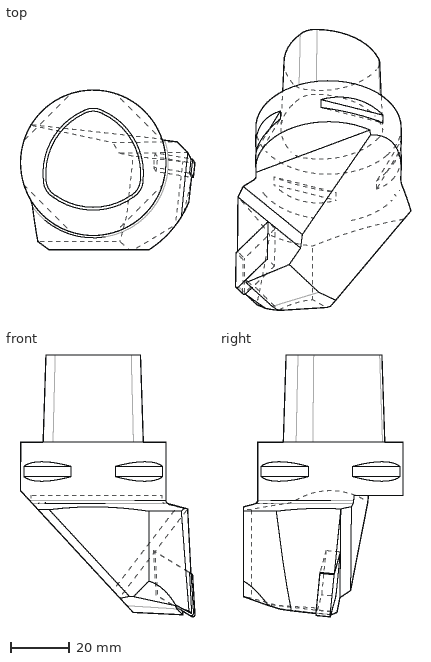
import cadquery as cq
import math


SHANK_HEIGHT = 30.0
LOBE_RADIUS = 18.7
SHOULDER_RADIUS = 18.2
FLANK_RADIUS = 16.3
LOBE_HALF_ANGLE = 10.5
LOBE_ANGLES = (90, 210, 330)
LOBE_SPACING = 360 / len(LOBE_ANGLES)
SHANK_TAPER = 1.0

FLANGE_RADIUS = 25.0
FLANGE_THICKNESS = 18.4
SLOT_FLOOR_RADIUS = 22.2
SLOT_DEPTH = FLANGE_RADIUS - SLOT_FLOOR_RADIUS
SLOT_CENTER_Z = -10.1
SLOT_FLOOR_HEIGHT = 3.5
SLOT_FLARE_ANGLE = 30
SLOT_FLARE = SLOT_DEPTH * math.tan(math.radians(SLOT_FLARE_ANGLE))
SLOT_ANGLES = (45, 135, 225, 315)

NECK_BOTTOM_Z = -20.1
NECK_FILLET = 1.1
SHOULDER_ANGLE = 15
HEAD_RADIUS = 35.55
BLANK_BOTTOM_Z = -67.5
HEAD_INNER_POINT = cq.Vector(18, -9, -40.5)
BIG = 270

SLANT_FACE = [(-25.0, 0, -16.65), (13.7, 0, -58.5), (13.7, -18, -58.5)]
FRONT_FACE = [(0, -30.0, -27), (18, -30.0, -27), (0, -30.0, -45)]
CORNER_CHAMFER = [(-18.7, -27.2, -23.3), (-15.0, -30.0, -23.3), (9.1, -27.2, -53.4)]
SIDE_FACE = [(32.5, 3.5, -22.95), (30.3, -18.2, -23.8), (32.85, -13.6, -57.2)]
RAKE_FACE = [(-22.2, 13.05, -19.7), (29.0, 7.2, -22.05), (6.75, 6.9, -51.0)]
BOTTOM_FACE = [(10.9, -18, -56.15), (13.7, 1.8, -58.5), (30.5, 0, -59.3)]
BOTTOM_BEVEL = [(14.0, -30.0, -53.1), (28.35, -21.4, -56.15), (10.9, -18, -56.15)]
BOTTOM_CORNER = [(18.9, -30.0, -48.0), (14.0, -30.0, -52.9), (28.35, -21.4, -56.0)]
LOWER_FACES = [FRONT_FACE, CORNER_CHAMFER, SIDE_FACE, RAKE_FACE,
               BOTTOM_FACE, BOTTOM_BEVEL, BOTTOM_CORNER]

NOTCH_ROOF = [(28.35, 0, -56.0), (32.6, 0, -58.2), (32.6, -18, -58.2)]
NOTCH_WALL = [(28.35, -20.25, -56.7), (30.8, 0, -56.7), (30.8, 0, -59.4)]

RECESS_DEPTH = 3.15
RECESS_WALL = [(6.75, 6.9, -51.0), (29.0, 7.2, -22.05), (32.5, 3.5, -22.95)]

INSERT_TIP_X = 35.1
INSERT_TIP_Z = -60.7
INSERT_SIDE = 15.3
INSERT_ANGLE = 55
INSERT_LEAN = 4
INSERT_THICKNESS = 4.95
INSERT_NOSE_RADIUS = 0.8


def polar(radius, angle):
    return (radius * math.cos(math.radians(angle)), radius * math.sin(math.radians(angle)))


def plane_normal(points):
    """Unit normal of a plane, pointing out of the head."""
    a, b, c = [cq.Vector(*p) for p in points]
    normal = (b - a).cross(c - a).normalized()
    return normal if (a - HEAD_INNER_POINT).dot(normal) > 0 else normal * -1


def outside(points, inset=0):
    """Everything beyond a plane that is moved into the head by an inset."""
    normal = plane_normal(points)
    origin = cq.Vector(*points[0]) - normal * inset
    return cq.Workplane(cq.Plane(origin, normal=normal)).rect(BIG, BIG).extrude(BIG)


def shank_outline(workplane, inset):
    lobe = LOBE_RADIUS - inset
    shoulder = SHOULDER_RADIUS - inset
    flank = FLANK_RADIUS - inset
    outline = workplane.moveTo(*polar(shoulder, LOBE_ANGLES[0] - LOBE_HALF_ANGLE))
    for center in LOBE_ANGLES:
        outline = outline.threePointArc(polar(lobe, center), polar(shoulder, center + LOBE_HALF_ANGLE))
        outline = outline.threePointArc(
            polar(flank, center + LOBE_SPACING / 2), polar(shoulder, center + LOBE_SPACING - LOBE_HALF_ANGLE))
    return outline.close()


def make_shank():
    base = shank_outline(cq.Workplane("XY"), 0)
    return shank_outline(base.workplane(offset=SHANK_HEIGHT), SHANK_TAPER).loft(ruled=True)


def gripper_slot(angle):
    floor_half = SLOT_FLOOR_HEIGHT / 2
    mouth_half = floor_half + SLOT_FLARE
    slot = (
        cq.Workplane("XZ")
        .moveTo(SLOT_FLOOR_RADIUS, SLOT_CENTER_Z - floor_half)
        .lineTo(FLANGE_RADIUS, SLOT_CENTER_Z - mouth_half)
        .lineTo(FLANGE_RADIUS, SLOT_CENTER_Z + mouth_half)
        .lineTo(SLOT_FLOOR_RADIUS, SLOT_CENTER_Z + floor_half)
        .close()
        .extrude(FLANGE_RADIUS, both=True)
    )
    return slot.rotate((0, 0, 0), (0, 0, 1), angle)


def holder_blank():
    """Flange, neck, fillet, conical shoulder and cylinder, all around the Z axis."""
    slope = math.radians(SHOULDER_ANGLE)
    fillet_center = (FLANGE_RADIUS + NECK_FILLET, NECK_BOTTOM_Z)

    def on_fillet(turn):
        return (fillet_center[0] - NECK_FILLET * math.cos(turn),
                fillet_center[1] - NECK_FILLET * math.sin(turn))

    fillet_turn = math.pi / 2 - slope
    fillet_end = on_fillet(fillet_turn)
    shoulder_end_z = fillet_end[1] - (HEAD_RADIUS - fillet_end[0]) * math.tan(slope)
    return (
        cq.Workplane("XZ")
        .moveTo(0, 0)
        .lineTo(FLANGE_RADIUS, 0)
        .lineTo(FLANGE_RADIUS, NECK_BOTTOM_Z)
        .threePointArc(on_fillet(fillet_turn / 2), fillet_end)
        .lineTo(HEAD_RADIUS, shoulder_end_z)
        .lineTo(HEAD_RADIUS, BLANK_BOTTOM_Z)
        .lineTo(0, BLANK_BOTTOM_Z)
        .close()
        .revolve(360, (0, 0, 0), (0, 1, 0))
    )


def cut_head(blank):
    """Cut the planes of the head; only the slant face reaches up into the flange."""
    below_flange = cq.Workplane("XY").workplane(offset=-FLANGE_THICKNESS).rect(BIG, BIG).extrude(-BIG)
    head = blank.cut(outside(SLANT_FACE))
    for face in LOWER_FACES:
        head = head.cut(outside(face).intersect(below_flange))
    notch = outside(NOTCH_ROOF).intersect(outside(NOTCH_WALL))
    recess = outside(RAKE_FACE, RECESS_DEPTH).intersect(outside(RECESS_WALL)).intersect(below_flange)
    return head.cut(notch).cut(recess)


def make_holder():
    holder = cut_head(holder_blank())
    for angle in SLOT_ANGLES:
        holder = holder.cut(gripper_slot(angle))
    return holder.union(make_shank())


def make_insert():
    normal = plane_normal(RAKE_FACE)
    floor = cq.Vector(*RAKE_FACE[0]) - normal * RECESS_DEPTH
    tip_y = floor.y - (normal.x * (INSERT_TIP_X - floor.x) + normal.z * (INSERT_TIP_Z - floor.z)) / normal.y
    across = cq.Vector(0, 0, 1).cross(normal)
    seat = cq.Plane(cq.Vector(INSERT_TIP_X, tip_y, INSERT_TIP_Z), xDir=across, normal=normal)
    upper = polar(INSERT_SIDE, 90 - INSERT_LEAN)
    lower = polar(INSERT_SIDE, 90 - INSERT_LEAN - INSERT_ANGLE)
    far = (upper[0] + lower[0], upper[1] + lower[1])
    rhombus = cq.Workplane(seat).polyline([(0, 0), upper, far, lower]).close().extrude(-INSERT_THICKNESS)
    nose = cq.selectors.NearestToPointSelector((seat.origin - normal * (INSERT_THICKNESS / 2)).toTuple())
    return rhombus.edges(nose).fillet(INSERT_NOSE_RADIUS)


insert = make_insert()
holder = make_holder().cut(insert)

result = cq.Compound.makeCompound([holder.val(), insert.val()])